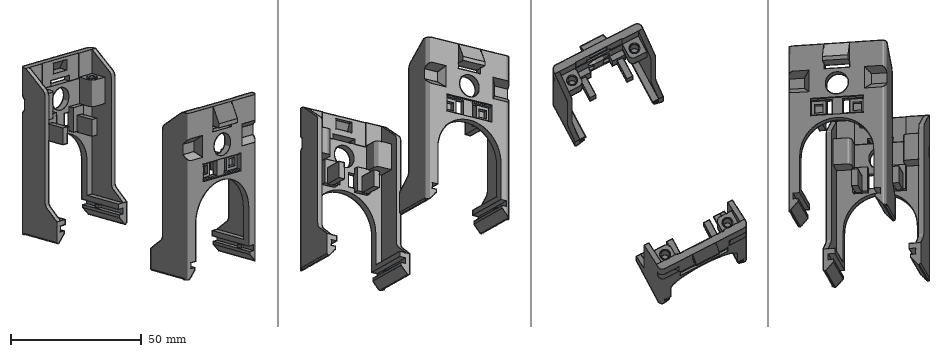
import cadquery as cq

TOTAL_LENGTH = 96.5
WIDTH = 38.2
HEIGHT = 66.8
HALF_WIDTH = WIDTH / 2

HOOK_REACH = 3.2
WALL = 3.0
SIDE = 2.0
CORNER_RADIUS = 2.0
X_TIP = -TOTAL_LENGTH / 2
X_OUTER = X_TIP + HOOK_REACH
X_INNER = X_OUTER + WALL
Y_SIDE_INNER = HALF_WIDTH - SIDE

CHEEK_DEPTH = 13.4
FOOT_DEPTH = 19.8
X_CHEEK = X_OUTER + CHEEK_DEPTH
X_FOOT = X_OUTER + FOOT_DEPTH
CHEEK_TOP_Z = 59.2
FOOT_NECK_Z = 14.0
FOOT_Z = 8.9
CHEEK_BLEND = 3.0
BOTTOM_BEVEL = 0.6

ARCH_RADIUS = 14.5
ARCH_TOP_Z = 36.4
ARCH_SPRING_Z = ARCH_TOP_Z - ARCH_RADIUS

RAIL_BOTTOM_Z = 6.8
LIP_Z = 4.4
LIP_EDGE_Z = 3.3
LIP_REACH = 4.1
BOTTOM_THICKNESS = 1.1
STOP_X = -39.5
STOP_LENGTH = 2.2
STOP_REACH = 3.0
STOP_TOP_Z = 5.6

HOOK_WIDTH = 10.0
HOOK_BOTTOM_Z = 58.9
HOOK_EDGE_Z = 60.5
WINDOW_BOTTOM_Z = 56.6
HOOK_POCKET_WIDTH = 7.2
HOOK_POCKET_BOTTOM_Z = 61.3
HOOK_POCKET_TOP_Z = 65.5
HOOK_POCKET_DEPTH = 4.1

RELIEF_WIDTH = 20.1
RELIEF_DEPTH = 0.3

HOLE_DIAMETER = 9.0
HOLE_Z = 50.6

GRIP_DEPTH = 2.3
GRIP_Y = 10.8
GRIP_BOTTOM_Z = 47.7
GRIP_TOP_Z = 56.5

BOSS_Y = 10.1
BOSS_X = -35.1
BOSS_BOTTOM_Z = 46.5
BOSS_TOP_Z = 57.1
BOSS_RADIUS = 2.0
BORE_X = -38.5
BORE_Y = 13.5
BORE_MOUTH_DIAMETER = 4.15
BORE_MOUTH_DEPTH = 0.4
BORE_DIAMETER = 3.3
BORE_END_DIAMETER = 3.0
BORE_DEPTH = 8.0

KEY_HALF_WIDTH = 10.3
KEY_BOTTOM_Z = 37.8
KEY_TOP_Z = 44.9
KEY_DEPTH = 1.0
KEY_STEP = 0.6
PLATE_SETBACK = 2.2
PLATE_THICKNESS = 3.0
PLATE_Y = 4.6
PLATE_BOTTOM_Z = 36.7
BAR_HALF_WIDTH = 2.0
SQUARE_SIZE = 3.4
SQUARE_Y = 7.5
SQUARE_Z = 41.3
SQUARE_DEPTH = 1.7
TAB_Y = 6.8
TAB_THICKNESS = 2.5
TAB_X = -31.75
TAB_BOTTOM_Z = 36.3
TAB_TOP_Z = 43.0
X_PLATE_FRONT = X_OUTER + PLATE_SETBACK
X_PLATE_BACK = X_PLATE_FRONT + PLATE_THICKNESS

OVERCUT = 1.0


def block(x0, x1, y0, y1, z0, z1):
    return cq.Workplane("XY").box(x1 - x0, y1 - y0, z1 - z0, centered=False).translate((x0, y0, z0))


def both_sides(feature):
    """A feature on the +Y side together with its mirror image on the -Y side."""
    return feature.union(feature.mirror("XZ"))


def outer_wall():
    """Flat outer wall with the arched opening, ending above the snap lips."""
    wall = block(X_OUTER, X_INNER, -HALF_WIDTH, HALF_WIDTH, 0, HEIGHT)
    arch = (
        cq.Workplane("YZ")
        .moveTo(-ARCH_RADIUS, -OVERCUT)
        .lineTo(-ARCH_RADIUS, ARCH_SPRING_Z)
        .threePointArc((0, ARCH_TOP_Z), (ARCH_RADIUS, ARCH_SPRING_Z))
        .lineTo(ARCH_RADIUS, -OVERCUT)
        .close()
        .extrude(WALL)
        .translate((X_OUTER, 0, 0))
    )
    below_rails = block(X_OUTER, X_INNER, -Y_SIDE_INNER, Y_SIDE_INNER, 0, RAIL_BOTTOM_Z)
    return wall.cut(arch).cut(below_rails)


def cheek():
    """Side wall whose foot widens towards the bottom."""
    outline = (
        cq.Workplane("XZ")
        .moveTo(X_OUTER, 0)
        .lineTo(X_FOOT, 0)
        .lineTo(X_FOOT, FOOT_Z)
        .lineTo(X_CHEEK, FOOT_NECK_Z)
        .lineTo(X_CHEEK, CHEEK_TOP_Z)
        .lineTo(X_INNER, HEIGHT)
        .lineTo(X_OUTER, HEIGHT)
        .close()
        .extrude(-SIDE)
        .translate((0, Y_SIDE_INNER, 0))
    )
    bends = cq.selectors.BoxSelector(
        (X_CHEEK - OVERCUT, 0, FOOT_NECK_Z - OVERCUT),
        (X_CHEEK + OVERCUT, HALF_WIDTH, CHEEK_TOP_Z + OVERCUT),
    )
    return outline.edges("|Y").edges(bends).fillet(CHEEK_BLEND)


def foot_rail():
    return block(X_OUTER + CORNER_RADIUS, X_FOOT, ARCH_RADIUS, HALF_WIDTH, RAIL_BOTTOM_Z, FOOT_Z)


def snap_lip():
    """Hooked lip under the groove; its sloped underside leads the rail in."""
    lip_y = HALF_WIDTH - LIP_REACH
    return (
        cq.Workplane("YZ")
        .moveTo(HALF_WIDTH, 0)
        .lineTo(HALF_WIDTH, LIP_Z)
        .lineTo(lip_y, LIP_Z)
        .lineTo(lip_y, LIP_EDGE_Z)
        .lineTo(HALF_WIDTH - BOTTOM_THICKNESS, 0)
        .close()
        .extrude(FOOT_DEPTH)
        .translate((X_OUTER, 0, 0))
    )


def lead_in_space():
    """Space under the sloped face of the snap lip."""
    return (
        cq.Workplane("YZ")
        .moveTo(HALF_WIDTH - BOTTOM_THICKNESS, 0)
        .lineTo(HALF_WIDTH - LIP_REACH, LIP_EDGE_Z)
        .lineTo(HALF_WIDTH - LIP_REACH, 0)
        .close()
        .extrude(FOOT_DEPTH)
        .translate((X_OUTER, 0, 0))
    )


def groove_stop():
    stop_y = HALF_WIDTH - STOP_REACH
    return block(STOP_X, STOP_X + STOP_LENGTH, stop_y, HALF_WIDTH - SIDE / 2, LIP_EDGE_Z, STOP_TOP_Z)


def bottom_bevel():
    """Wedge removed along the straight lower outer edge of a foot."""
    return (
        cq.Workplane("YZ")
        .moveTo(HALF_WIDTH, 0)
        .lineTo(HALF_WIDTH, BOTTOM_BEVEL)
        .lineTo(HALF_WIDTH - BOTTOM_BEVEL, 0)
        .close()
        .extrude(FOOT_DEPTH - CORNER_RADIUS)
        .translate((X_OUTER + CORNER_RADIUS, 0, 0))
    )


def rounded_envelope():
    """Block around the shell that rounds its two outer vertical corners."""
    envelope = block(X_OUTER, X_FOOT, -HALF_WIDTH, HALF_WIDTH, 0, HEIGHT)
    return envelope.edges("|Z and <X").fillet(CORNER_RADIUS)


def latch_hook():
    return (
        cq.Workplane("XZ")
        .moveTo(X_OUTER, HEIGHT)
        .lineTo(X_TIP, HOOK_EDGE_Z)
        .lineTo(X_TIP, HOOK_BOTTOM_Z)
        .lineTo(X_INNER - RELIEF_DEPTH, HOOK_BOTTOM_Z)
        .lineTo(X_INNER - RELIEF_DEPTH, HEIGHT)
        .close()
        .extrude(HOOK_WIDTH / 2, both=True)
    )


def latch_openings():
    """Window under the hook and the pocket that hollows the hook from the inside."""
    half_window = HOOK_WIDTH / 2
    window = block(X_OUTER, X_INNER, -half_window, half_window, WINDOW_BOTTOM_Z, HOOK_BOTTOM_Z)
    hook_slope = HOOK_REACH / (HEIGHT - HOOK_EDGE_Z)
    top_depth = HOOK_POCKET_DEPTH - hook_slope * (HOOK_POCKET_TOP_Z - HOOK_POCKET_BOTTOM_Z)
    pocket = (
        cq.Workplane("XZ")
        .moveTo(X_INNER, HOOK_POCKET_BOTTOM_Z)
        .lineTo(X_INNER - HOOK_POCKET_DEPTH, HOOK_POCKET_BOTTOM_Z)
        .lineTo(X_INNER - top_depth, HOOK_POCKET_TOP_Z)
        .lineTo(X_INNER, HOOK_POCKET_TOP_Z)
        .close()
        .extrude(HOOK_POCKET_WIDTH / 2, both=True)
    )
    return window.union(pocket)


def inner_relief():
    half = RELIEF_WIDTH / 2
    return block(X_INNER - RELIEF_DEPTH, X_INNER, -half, half, WINDOW_BOTTOM_Z, HEIGHT)


def wall_hole():
    return (
        cq.Workplane("YZ")
        .center(0, HOLE_Z)
        .circle(HOLE_DIAMETER / 2)
        .extrude(WALL)
        .translate((X_OUTER, 0, 0))
    )


def grip_recess():
    """Recess with 45-degree walls, open at the side of the part."""
    y_end = HALF_WIDTH + OVERCUT
    z_middle = (GRIP_BOTTOM_Z + GRIP_TOP_Z) / 2
    mouth_width = y_end - GRIP_Y
    mouth_height = GRIP_TOP_Z - GRIP_BOTTOM_Z
    floor_width = mouth_width - GRIP_DEPTH
    return (
        cq.Workplane("YZ", origin=(X_OUTER, 0, z_middle))
        .center(y_end - mouth_width / 2, 0)
        .rect(mouth_width, mouth_height)
        .workplane(offset=GRIP_DEPTH)
        .center(GRIP_DEPTH / 2, 0)
        .rect(floor_width, mouth_height - 2 * GRIP_DEPTH)
        .loft(combine=True)
    )


def screw_boss():
    boss = block(X_INNER, BOSS_X, BOSS_Y, Y_SIDE_INNER, BOSS_BOTTOM_Z, BOSS_TOP_Z)
    return boss.edges("|Z and >X and <Y").fillet(BOSS_RADIUS)


def screw_bore():
    """Slightly tapered blind bore with a conical mouth."""
    return (
        cq.Workplane("XZ")
        .moveTo(0, BOSS_TOP_Z)
        .lineTo(BORE_MOUTH_DIAMETER / 2, BOSS_TOP_Z)
        .lineTo(BORE_DIAMETER / 2, BOSS_TOP_Z - BORE_MOUTH_DEPTH)
        .lineTo(BORE_END_DIAMETER / 2, BOSS_TOP_Z - BORE_DEPTH)
        .lineTo(0, BOSS_TOP_Z - BORE_DEPTH)
        .close()
        .revolve(360, (0, 0, 0), (0, 1, 0))
        .translate((BORE_X, BORE_Y, 0))
    )


def key_recess():
    """Shallow recess across the wall, with a deeper pocket and a slot beside its middle bar."""
    shallow = block(
        X_OUTER, X_OUTER + KEY_DEPTH,
        -KEY_HALF_WIDTH, KEY_HALF_WIDTH,
        KEY_BOTTOM_Z, KEY_TOP_Z,
    )
    z_bottom = KEY_BOTTOM_Z + KEY_STEP
    z_top = KEY_TOP_Z - KEY_STEP
    pocket = block(X_OUTER, X_PLATE_FRONT, BAR_HALF_WIDTH, KEY_HALF_WIDTH, z_bottom, z_top)
    slot = block(X_OUTER, X_INNER, BAR_HALF_WIDTH, PLATE_Y, z_bottom, z_top)
    return shallow.union(both_sides(pocket.union(slot)))


def key_plate():
    """Plate with a tab behind each deeper pocket."""
    plate = block(X_INNER, X_PLATE_BACK, PLATE_Y, KEY_HALF_WIDTH, PLATE_BOTTOM_Z, BOSS_BOTTOM_Z)
    tab = block(X_PLATE_BACK, TAB_X, TAB_Y, TAB_Y + TAB_THICKNESS, TAB_BOTTOM_Z, TAB_TOP_Z)
    return plate.union(tab)


def square_pocket():
    """Square blind pocket in the floor of a deeper pocket."""
    return (
        cq.Workplane("YZ", origin=(X_PLATE_FRONT, SQUARE_Y, SQUARE_Z))
        .rect(SQUARE_SIZE, SQUARE_SIZE)
        .extrude(SQUARE_DEPTH)
    )


def bracket_half():
    shell = outer_wall().union(both_sides(cheek()))
    shell = shell.union(both_sides(foot_rail().union(snap_lip()).union(groove_stop())))
    shell = shell.cut(both_sides(lead_in_space().union(bottom_bevel())))
    shell = shell.intersect(rounded_envelope())

    shell = shell.cut(inner_relief()).union(latch_hook()).cut(latch_openings())
    shell = shell.cut(wall_hole()).cut(both_sides(grip_recess())).cut(key_recess())
    shell = shell.union(both_sides(key_plate())).union(both_sides(screw_boss()))
    return shell.cut(both_sides(screw_bore().union(square_pocket())))


first_half = bracket_half()
halves = [first_half.rotate((0, 0, 0), (0, 0, 1), turn) for turn in (0, 180)]

result = cq.Compound.makeCompound([half.val() for half in halves])